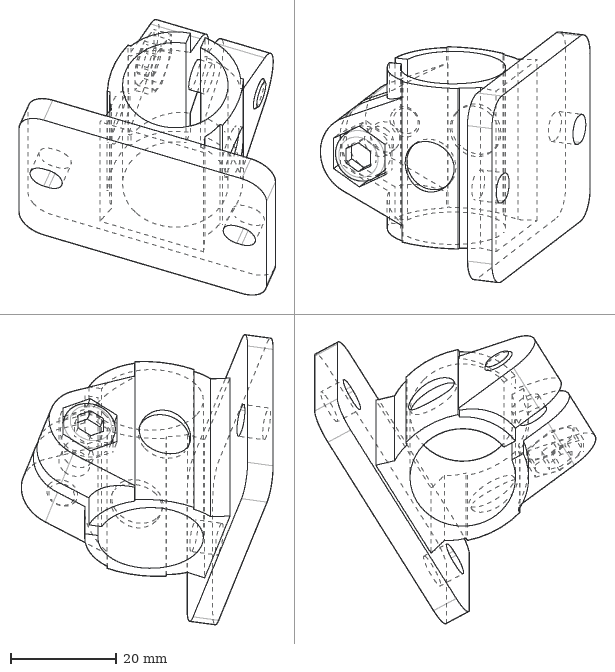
import cadquery as cq
import math

PLATE_WIDTH = 50
PLATE_HEIGHT = 37
PLATE_THICKNESS = 5
PLATE_CORNER_RADIUS = 5
SLOT_LENGTH = 6.5
SLOT_WIDTH = 5.5
SLOT_SPACING = 39

RING_CENTER_Y = 18
RING_RADIUS = 12.5
BORE_RADIUS = 10
RING_HEIGHT = 32
PAD_HALF_LENGTH = 5.75
PAD_EDGE_X = 11.65
PAD_MIDDLE_X = 12.55
DIMPLE_DIAMETER = 10
DIMPLE_FLOOR_X = 11

FOOT_BASE_WIDTH = 20.9
FOOT_NECK_WIDTH = 18.9
FOOT_NECK_Y = 8.55
FOOT_BULGE_X = 10.45
FOOT_BULGE_Y = 10.35

EAR_OUTER_X = 11.55
EAR_TIP_RADIUS = 8
EAR_ROOT_HEIGHT = 25.5
GAP_WIDTH = 3

BOLT_Y = 32.5
SHANK_DIAMETER = 6
BOLT_PROUD = 0.5
BOLT_TIP_DIAMETER = 5
HEAD_DIAMETER = 10
HEAD_ROUNDING = 1
HEAD_POCKET_FLATS = 10.5
HEAD_POCKET_DEPTH = 3.5
SOCKET_FLATS = 5
SOCKET_DEPTH = 2.8

pad_front_y = RING_CENTER_Y - PAD_HALF_LENGTH
pad_back_y = RING_CENTER_Y + PAD_HALF_LENGTH
bolt_end_x = EAR_OUTER_X + BOLT_PROUD


def bolt_plane(x):
    """Plane facing +X, centred on the bolt axis; its local axes are Y and Z."""
    return cq.Workplane("YZ", origin=(x, BOLT_Y, 0))


def hexagon_prism(x, across_flats, length):
    """Hexagonal prism on the bolt axis with two corners along Z."""
    across_corners = across_flats / math.cos(math.radians(30))
    hexagon = bolt_plane(x).transformed(rotate=(0, 0, 90)).polygon(6, across_corners)
    return hexagon.extrude(length)


def make_plate():
    plate = cq.Workplane("XY").box(PLATE_WIDTH, PLATE_THICKNESS, PLATE_HEIGHT)
    plate = plate.edges("|Y").fillet(PLATE_CORNER_RADIUS)
    slots = (
        cq.Workplane("XZ")
        .pushPoints([(-SLOT_SPACING / 2, 0), (SLOT_SPACING / 2, 0)])
        .slot2D(SLOT_LENGTH, SLOT_WIDTH)
        .extrude(PLATE_THICKNESS, both=True)
    )
    return plate.cut(slots).translate((0, PLATE_THICKNESS / 2, 0))


def make_ring():
    """Ring with shallow curved side pads and a foot that is narrowest at its neck."""
    base = cq.Workplane("XY", origin=(0, 0, -RING_HEIGHT / 2))
    ring = base.center(0, RING_CENTER_Y).circle(RING_RADIUS).extrude(RING_HEIGHT)
    pads = (
        base.moveTo(-PAD_EDGE_X, pad_front_y)
        .lineTo(PAD_EDGE_X, pad_front_y)
        .threePointArc((PAD_MIDDLE_X, RING_CENTER_Y), (PAD_EDGE_X, pad_back_y))
        .lineTo(-PAD_EDGE_X, pad_back_y)
        .threePointArc((-PAD_MIDDLE_X, RING_CENTER_Y), (-PAD_EDGE_X, pad_front_y))
        .close()
        .extrude(RING_HEIGHT)
    )
    foot_top_x = math.sqrt(RING_RADIUS**2 - PAD_HALF_LENGTH**2)
    foot = (
        base.moveTo(-FOOT_BASE_WIDTH / 2, PLATE_THICKNESS)
        .lineTo(FOOT_BASE_WIDTH / 2, PLATE_THICKNESS)
        .lineTo(FOOT_NECK_WIDTH / 2, FOOT_NECK_Y)
        .threePointArc((FOOT_BULGE_X, FOOT_BULGE_Y), (foot_top_x, pad_front_y))
        .lineTo(-foot_top_x, pad_front_y)
        .threePointArc((-FOOT_BULGE_X, FOOT_BULGE_Y), (-FOOT_NECK_WIDTH / 2, FOOT_NECK_Y))
        .close()
        .extrude(RING_HEIGHT)
    )
    return ring.union(pads).union(foot)


def make_ears():
    """Tapered block whose sloping sides run tangent into the rounded tip."""
    root_y = pad_back_y - BOLT_Y
    root_z = EAR_ROOT_HEIGHT / 2
    root_distance = math.hypot(root_y, root_z)
    tangent_angle = math.atan2(root_z, root_y) - math.acos(EAR_TIP_RADIUS / root_distance)
    tangent_y = EAR_TIP_RADIUS * math.cos(tangent_angle)
    tangent_z = EAR_TIP_RADIUS * math.sin(tangent_angle)
    return (
        bolt_plane(-EAR_OUTER_X)
        .moveTo(root_y, -root_z)
        .lineTo(tangent_y, -tangent_z)
        .threePointArc((EAR_TIP_RADIUS, 0), (tangent_y, tangent_z))
        .lineTo(root_y, root_z)
        .close()
        .extrude(2 * EAR_OUTER_X)
    )


def cut_openings(clamp):
    bore = cq.Workplane("XY").center(0, RING_CENTER_Y).circle(BORE_RADIUS).extrude(RING_HEIGHT, both=True)
    gap_length = BOLT_Y + EAR_TIP_RADIUS - RING_CENTER_Y
    gap = (
        cq.Workplane("XY")
        .box(GAP_WIDTH, gap_length, RING_HEIGHT)
        .translate((0, RING_CENTER_Y + gap_length / 2, 0))
    )
    clamp = clamp.cut(bore).cut(gap)
    dimple = (
        cq.Workplane("YZ", origin=(DIMPLE_FLOOR_X, RING_CENTER_Y, 0))
        .circle(DIMPLE_DIAMETER / 2)
        .extrude(RING_RADIUS)
    )
    clamp = clamp.cut(dimple).cut(dimple.mirror("YZ"))
    return clamp.cut(hexagon_prism(-EAR_OUTER_X, HEAD_POCKET_FLATS, HEAD_POCKET_DEPTH))


def make_bolt():
    """Round-edged socket head on the -X side and a chamfered tip on the +X side."""
    head = bolt_plane(-bolt_end_x).circle(HEAD_DIAMETER / 2).extrude(HEAD_POCKET_DEPTH + BOLT_PROUD)
    head = head.faces("<X").edges().fillet(HEAD_ROUNDING)
    shank = bolt_plane(-bolt_end_x + SOCKET_DEPTH).circle(SHANK_DIAMETER / 2)
    shank = shank.extrude(2 * bolt_end_x - SOCKET_DEPTH)
    shank = shank.faces(">X").chamfer((SHANK_DIAMETER - BOLT_TIP_DIAMETER) / 2)
    return head.union(shank).cut(hexagon_prism(-bolt_end_x, SOCKET_FLATS, SOCKET_DEPTH))


clamp = cut_openings(make_ring().union(make_ears()))
result = make_plate().union(clamp).union(make_bolt())